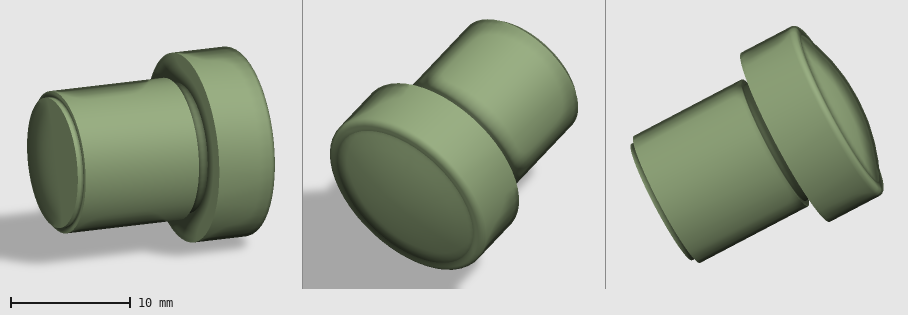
import cadquery as cq
import math

total_length = 18.6
head_diameter = 16.0
shank_diameter = 12.0
neck_diameter = 11.0
tip_length = 0.5
neck_length = 1.0
head_underside = 11.8
rim_radius = 0.5
head_rim_height = 5.2
dome_base_radius = 7.0

head_radius = head_diameter / 2
shank_radius = shank_diameter / 2
neck_radius = neck_diameter / 2
tip_end = -total_length / 2
dome_top = total_length / 2
shank_start = tip_end + tip_length
head_start = tip_end + head_underside
shank_end = head_start - neck_length
rim_top = head_start + head_rim_height

dome_height = dome_top - rim_top
dome_radius = (dome_base_radius**2 + dome_height**2) / (2 * dome_height)
dome_mid_x = dome_base_radius / 2
dome_mid_y = dome_top - dome_radius + math.sqrt(dome_radius**2 - dome_mid_x**2)

rim_center_x = head_radius - rim_radius
rim_center_y = rim_top - rim_radius
rim_mid_offset = rim_radius * math.sqrt(0.5)
rim_mid = (rim_center_x + rim_mid_offset, rim_center_y + rim_mid_offset)

profile = (
    cq.Workplane("XY")
    .moveTo(0, tip_end)
    .lineTo(neck_radius, tip_end)
    .lineTo(neck_radius, shank_start)
    .lineTo(shank_radius, shank_start)
    .lineTo(shank_radius, shank_end)
    .lineTo(neck_radius, shank_end)
    .lineTo(neck_radius, head_start)
    .lineTo(head_radius, head_start)
    .lineTo(head_radius, rim_center_y)
    .threePointArc(rim_mid, (rim_center_x, rim_top))
    .lineTo(dome_base_radius, rim_top)
    .threePointArc((dome_mid_x, dome_mid_y), (0, dome_top))
    .close()
)

result = profile.revolve(360, (0, 0, 0), (0, 1, 0))